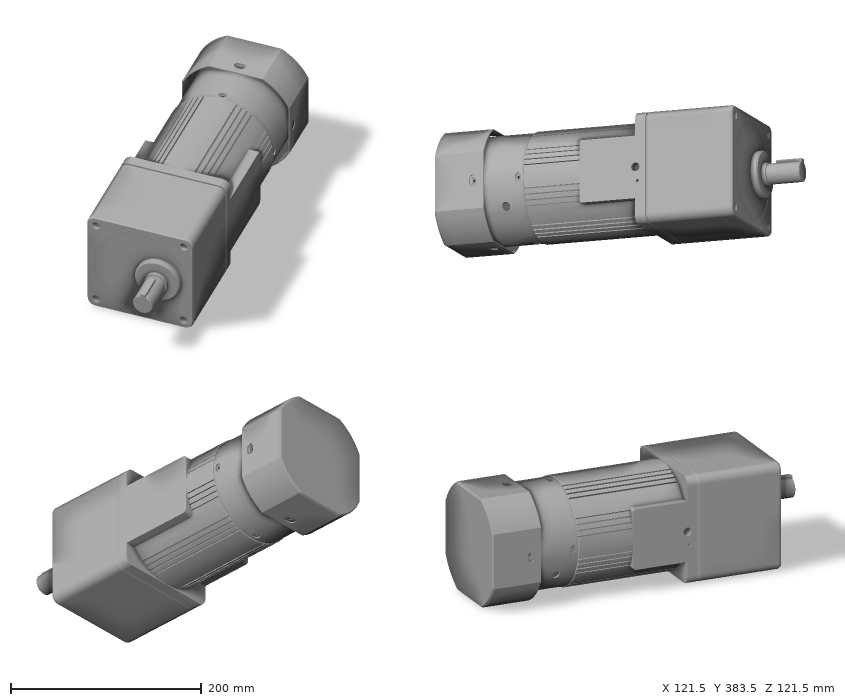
import cadquery as cq
import math


case_width = 119.5
case_corner = 9.2
gearbox_length = 97.5
case_chamfer_length = 2.3
case_chamfer_depth = 1.0
face_recess_diameter = 105.0
face_recess_depth = 0.5
screw_hole_offset = 49.5
screw_hole_diameter = 7.0
screw_hole_depth = 23
screw_countersink_diameter = 9.2
drill_point_angle = 118

shaft_offset = 22.0
boss_diameter = 50.5
boss_length = 7.0
boss_chamfer = 1.5
collar_diameter = 25.0
collar_end = 11.5
shaft_diameter = 22.2
shaft_end = 48.7
shaft_tip_chamfer = 0.8
key_width = 6.0
key_height = 2.5
key_length = 29.0

flange_length = 12.0
fin_body_end = 235.0
motor_end = 247.7
drum_diameter = 117.0
fin_body_chamfer = 0.8
top_groove_width = 2.0
side_groove_width = 1.0
groove_depth = 2.3
groove_count = 4
groove_pitch_angle = 6.1
top_groove_angle = 18.3
side_groove_angle = 12.3

left_box_end = 171.8
left_box_height = 67.5
left_box_fillet = 2.5
right_box_end = 196.5
right_box_height = 71.5
right_box_fillet = 4.5
cable_hole_diameter = 9.2
cable_hole_position = 109.0
cable_hole_depth = 9.2
pin_hole_diameter = 3.0
pin_hole_position = 106.5
pin_hole_drop = 15.0
pin_hole_depth = 4

drum_wall = 2.3
hood_wall = 1.0
hood_start = 279.0
overall_length = 383.5
hood_width = 121.5
hood_flat_width = 61.0
hood_rear_wall = 4
hood_chamfer_length = 2.3
hood_chamfer_depth = 1.0
hood_slot_position = 290.7
hood_slot_length = 12.5
hood_slot_width = 8.5
drum_slot_length = 8.5
drum_slot_width = 5.0
drum_bore_length = 4
drum_bore_width = 2.5
drum_slot_depth = 1.0
bell_slot_position = 241.2
bell_slot_length = 9.5
bell_slot_width = 6.5
bell_slot_depth = 1.5
bell_bore_length = 3.5
bell_bore_width = 2.3
bell_bore_depth = 7.5
drum_hole_diameter = 9.0
drum_hole_position = 257.5
drum_hole_drop = 28.8

flange_start = gearbox_length
flange_end = flange_start + flange_length
hood_end = overall_length - shaft_end
drum_end = hood_end - hood_rear_wall
quarter_turns = [0, 90, 180, 270]


def plane_at(y, x=0):
    """XZ plane at the given Y, with local x along -X, local y along +Z and extrusion toward +Y."""
    return cq.Workplane(cq.Plane(origin=(x, y, 0), xDir=(-1, 0, 0), normal=(0, 1, 0)))


def disc(diameter, start, end, x=0):
    """Round disc along Y between two Y positions, centred on the given X."""
    return plane_at(start, x).circle(diameter / 2).extrude(end - start)


def rounded_square(width, corner, start, end):
    """Square block along Y with filleted corners, centred on the motor axis."""
    return plane_at(start).rect(width, width).extrude(end - start).edges("|Y").fillet(corner)


def radial_slots(length, width, position, inner, outer, angles):
    """Slots cut along a radius, with their long side around the motor axis."""
    slot = (
        cq.Workplane("XY", origin=(0, position, inner))
        .slot2D(length, width)
        .extrude(outer - inner)
    )
    slots = cq.Workplane()
    for angle in angles:
        slots = slots.add(slot.rotate((0, 0, 0), (0, 1, 0), angle))
    return slots.combine()


def screw_hole():
    """Countersunk blind hole along +Y with a conical bottom."""
    radius = screw_hole_diameter / 2
    mouth_radius = screw_countersink_diameter / 2
    tip = screw_hole_depth + radius / math.tan(math.radians(drill_point_angle / 2))
    return (
        cq.Workplane("XY")
        .moveTo(0, 0)
        .lineTo(mouth_radius, 0)
        .lineTo(radius, mouth_radius - radius)
        .lineTo(radius, screw_hole_depth)
        .lineTo(0, tip)
        .close()
        .revolve(360, (0, 0, 0), (0, 1, 0))
    )


def make_gearbox():
    """Square gearbox case with its boss and the keyed output shaft, offset toward +X."""
    case = rounded_square(case_width, case_corner, 0, gearbox_length)
    case = case.faces("<Y").chamfer(case_chamfer_length, case_chamfer_depth)
    case = case.faces(">Y").chamfer(case_chamfer_length, case_chamfer_depth)
    case = case.cut(disc(face_recess_diameter, 0, face_recess_depth))

    boss = disc(boss_diameter, -boss_length, face_recess_depth, shaft_offset)
    boss = boss.faces("<Y").chamfer(boss_chamfer)
    collar = disc(collar_diameter, -collar_end, 0, shaft_offset)
    shaft = disc(shaft_diameter, -shaft_end, 0, shaft_offset)
    shaft = shaft.faces("<Y").chamfer(shaft_tip_chamfer)
    key_top = shaft_diameter / 2 + key_height
    key = cq.Workplane("XY", origin=(shaft_offset, -shaft_end, 0)).box(
        key_width, key_length, key_top, centered=(True, False, False)
    )
    gearbox = case.union(boss).union(collar).union(shaft).union(key)

    for x in (-screw_hole_offset, screw_hole_offset):
        for z in (-screw_hole_offset, screw_hole_offset):
            gearbox = gearbox.cut(screw_hole().translate((x, 0, z)))
    return gearbox


def terminal_box(side, end, height, fillet):
    """Box from the flange along one flank of the fin body; side is -1 for -X and +1 for +X."""
    half_width = case_width / 2
    box = cq.Workplane("XY", origin=(side * half_width / 2, (flange_start + end) / 2, 0)).box(
        half_width, end - flange_start, height
    )
    return box.faces(">Y").edges("|X").fillet(fillet)


def fin_grooves(width, first_angle, faces):
    """Radial grooves in a group to each side of every given face direction."""
    groove = cq.Workplane("XY", origin=(0, flange_end, case_width / 2 - groove_depth)).box(
        width, fin_body_end - flange_end, 2 * groove_depth, centered=(True, False, False)
    )
    grooves = cq.Workplane()
    for face in faces:
        for i in range(groove_count):
            for side in (-1, 1):
                angle = face + side * (first_angle + i * groove_pitch_angle)
                grooves = grooves.add(groove.rotate((0, 0, 0), (0, 1, 0), angle))
    return grooves.combine()


def make_fin_body():
    """Round body with wide grooves above and below and narrow ones on the two flanks."""
    body = disc(case_width, flange_end, fin_body_end)
    body = body.faces("<Y or >Y").chamfer(fin_body_chamfer)
    body = body.cut(fin_grooves(top_groove_width, top_groove_angle, (0, 180)))
    return body.cut(fin_grooves(side_groove_width, side_groove_angle, (90, 270)))


def make_motor():
    """Square flange, grooved fin body, bell and two terminal boxes."""
    flange = rounded_square(case_width, case_corner, flange_start, flange_end)
    fin_body = make_fin_body()
    bell = disc(drum_diameter, fin_body_end, motor_end)
    left_box = terminal_box(-1, left_box_end, left_box_height, left_box_fillet)
    right_box = terminal_box(1, right_box_end, right_box_height, right_box_fillet)
    motor = flange.union(fin_body).union(bell).union(left_box).union(right_box)

    left_face = cq.Workplane("YZ", origin=(-case_width / 2, 0, 0))
    cable_hole = (
        left_face.center(cable_hole_position, 0).circle(cable_hole_diameter / 2).extrude(cable_hole_depth)
    )
    pin_hole = (
        left_face.center(pin_hole_position, -pin_hole_drop)
        .circle(pin_hole_diameter / 2)
        .extrude(pin_hole_depth)
    )
    bell_radius = drum_diameter / 2
    slots = radial_slots(
        bell_slot_length, bell_slot_width, bell_slot_position,
        bell_radius - bell_slot_depth, bell_radius + drum_wall, quarter_turns,
    )
    bores = radial_slots(
        bell_bore_length, bell_bore_width, bell_slot_position,
        bell_radius - bell_bore_depth, bell_radius, quarter_turns,
    )
    return motor.cut(cable_hole).cut(pin_hole).cut(slots).cut(bores)


def make_drum():
    """Thin round tube behind the bell, reaching to the rear wall of the hood."""
    drum = disc(drum_diameter, motor_end, drum_end)
    drum = drum.cut(disc(drum_diameter - 2 * drum_wall, motor_end, drum_end))
    radius = drum_diameter / 2
    slots = radial_slots(
        drum_slot_length, drum_slot_width, hood_slot_position,
        radius - drum_slot_depth, radius + drum_wall, quarter_turns,
    )
    bores = radial_slots(
        drum_bore_length, drum_bore_width, hood_slot_position,
        radius - 2 * drum_wall, radius, quarter_turns,
    )
    cable_hole = (
        cq.Workplane("YZ", origin=(-radius, 0, 0))
        .center(drum_hole_position, -drum_hole_drop)
        .circle(drum_hole_diameter / 2)
        .extrude(radius)
    )
    return drum.cut(slots).cut(bores).cut(cable_hole)


def hood_block(inset, start, end):
    """Square block whose corners are rounded about the motor axis, inset evenly all round."""
    width = hood_width - 2 * inset
    corner_radius = math.hypot(hood_width / 2, hood_flat_width / 2) - inset
    square = plane_at(start).rect(width, width).extrude(end - start)
    return square.intersect(disc(2 * corner_radius, start, end))


def make_hood():
    """Thin-walled hood over the rear of the drum, open toward -Y."""
    hood = hood_block(0, hood_start, hood_end)
    hood = hood.faces(">Y").chamfer(hood_chamfer_length, hood_chamfer_depth)
    cavity = hood_block(hood_wall, hood_start, drum_end)
    slots = radial_slots(
        hood_slot_length, hood_slot_width, hood_slot_position,
        drum_diameter / 2, hood_width, quarter_turns,
    )
    return hood.cut(cavity).cut(slots)


gearbox = make_gearbox()
motor = make_motor()
drum = make_drum()
hood = make_hood()

result = cq.Compound.makeCompound([gearbox.val(), motor.val(), drum.val(), hood.val()])